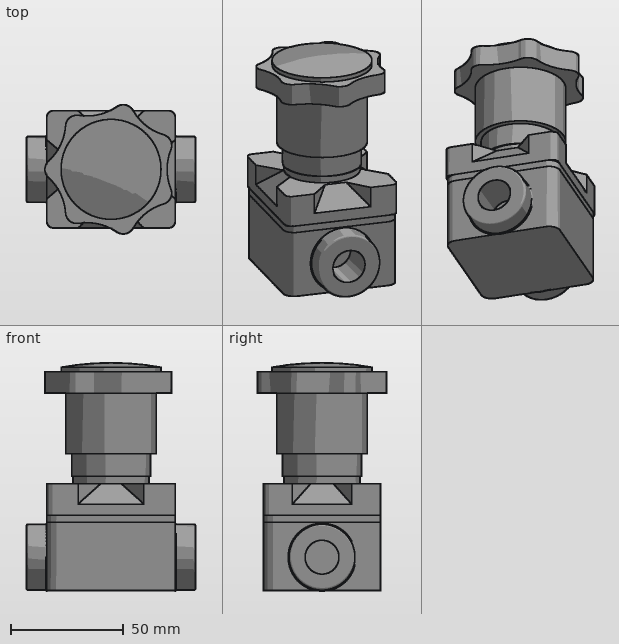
import cadquery as cq
import math


block_length = 57.0
block_width = 52.0
body_corner_radius = 5.0
bonnet_corner_radius = 3.0

body_bottom_z = -14.75
body_top_z = 15.4
diaphragm_top_z = 18.5
notch_floor_z = 23.5
bonnet_top_z = 32.6
neck_top_z = 35.8
sleeve_bottom_z = 45.7
handwheel_bottom_z = 72.6
handwheel_top_z = 82.1
cap_rim_z = 84.1
cap_crown_z = 86.1

port_span = 75.0
port_diameter = 29.2
port_end_fillet = 1.0
port_root_fillet = 0.4
bore_diameter = 15.0
bore_depth = 20.0

notch_depth = 9.6
long_side_notch_width = 29.2
long_side_notch_inner_width = 9.0
short_side_notch_width = 26.2
short_side_notch_inner_width = 9.9

neck_diameter = 33.85
stem_diameter = 35.0
sleeve_diameter = 40.2
cap_diameter = 44.3
lobe_count = 7
lobe_radius = 5.0
lobe_center_radius = 24.26
valley_depth_radius = 24.8


def block(corner_radius, bottom_z, top_z):
    """Rectangular plate with rounded vertical corners."""
    return (
        cq.Workplane("XY", origin=(0, 0, bottom_z))
        .rect(block_length, block_width)
        .extrude(top_z - bottom_z)
        .edges("|Z")
        .fillet(corner_radius)
    )


def disc(diameter, bottom_z, top_z):
    return cq.Workplane("XY", origin=(0, 0, bottom_z)).circle(diameter / 2).extrude(top_z - bottom_z)


def arc_middle(center_x, center_y, radius, angle):
    return (center_x + radius * math.cos(angle), center_y + radius * math.sin(angle))


def make_port():
    """Round port on the +X side with a rounded end and a small root fillet, standing on the block face."""
    face_x = block_length / 2
    end_x = port_span / 2
    radius = port_diameter / 2
    root_x = face_x + port_root_fillet
    root_middle = arc_middle(root_x, radius + port_root_fillet, port_root_fillet, math.radians(225))
    end_center_x = end_x - port_end_fillet
    end_center_y = radius - port_end_fillet
    end_middle = arc_middle(end_center_x, end_center_y, port_end_fillet, math.radians(45))
    return (
        cq.Workplane("XY")
        .moveTo(face_x, 0)
        .lineTo(face_x, radius + port_root_fillet)
        .threePointArc(root_middle, (root_x, radius))
        .lineTo(end_center_x, radius)
        .threePointArc(end_middle, (end_x, end_center_y))
        .lineTo(end_x, 0)
        .close()
        .revolve(360, (0, 0, 0), (1, 0, 0))
    )


def make_bore():
    """Blind bore of the +X port."""
    return (
        cq.Workplane("YZ", origin=(port_span / 2 - bore_depth, 0, 0))
        .circle(bore_diameter / 2)
        .extrude(bore_depth)
    )


def make_body():
    body = block(body_corner_radius, body_bottom_z, body_top_z)
    for turn in (0, 180):
        body = body.union(make_port().rotate((0, 0, 0), (0, 0, 1), turn))
    for turn in (0, 180):
        body = body.cut(make_bore().rotate((0, 0, 0), (0, 0, 1), turn))
    return body


def make_diaphragm():
    return block(body_corner_radius, body_top_z, diaphragm_top_z)


def make_notch(face_x, outer_width, inner_width):
    """Cutter for the +X edge: tapered in plan, with a floor that climbs inward to the bonnet top."""
    inner_x = face_x - notch_depth
    plan = (
        cq.Workplane("XY", origin=(0, 0, notch_floor_z))
        .polyline(
            [
                (inner_x, -inner_width / 2),
                (face_x, -outer_width / 2),
                (face_x, outer_width / 2),
                (inner_x, inner_width / 2),
            ]
        )
        .close()
        .extrude(bonnet_top_z - notch_floor_z)
    )
    wedge = (
        cq.Workplane("XZ")
        .polyline([(inner_x, bonnet_top_z), (face_x, notch_floor_z), (face_x, bonnet_top_z)])
        .close()
        .extrude(outer_width / 2, both=True)
    )
    return plan.intersect(wedge)


def make_handwheel():
    """Star-shaped plate: rounded lobes joined by tangent hollows, one lobe pointing to -X."""
    half_pitch = math.pi / lobe_count
    hollow_radius = (
        lobe_center_radius**2
        + valley_depth_radius**2
        - 2 * lobe_center_radius * valley_depth_radius * math.cos(half_pitch)
        - lobe_radius**2
    ) / (2 * (lobe_radius + lobe_center_radius * math.cos(half_pitch) - valley_depth_radius))
    hollow_center_radius = valley_depth_radius + hollow_radius

    to_hollow_x = hollow_center_radius * math.cos(half_pitch) - lobe_center_radius
    to_hollow_y = hollow_center_radius * math.sin(half_pitch)
    touch_direction = math.atan2(to_hollow_y, to_hollow_x)
    touch_x, touch_y = arc_middle(lobe_center_radius, 0, lobe_radius, touch_direction)
    touch_radius = math.hypot(touch_x, touch_y)
    touch_angle = math.atan2(touch_y, touch_x)

    def polar(radius, angle):
        return (radius * math.cos(angle), radius * math.sin(angle))

    outline = cq.Workplane("XY", origin=(0, 0, handwheel_bottom_z)).moveTo(
        *polar(touch_radius, math.pi - touch_angle)
    )
    for index in range(lobe_count):
        lobe_angle = math.pi + 2 * half_pitch * index
        next_angle = lobe_angle + 2 * half_pitch
        outline = outline.threePointArc(
            polar(lobe_center_radius + lobe_radius, lobe_angle),
            polar(touch_radius, lobe_angle + touch_angle),
        ).threePointArc(
            polar(valley_depth_radius, lobe_angle + half_pitch),
            polar(touch_radius, next_angle - touch_angle),
        )
    return outline.close().extrude(handwheel_top_z - handwheel_bottom_z)


def make_cap():
    """Round cap with a short rim and a shallow spherical crown."""
    rim_radius = cap_diameter / 2
    crown_rise = cap_crown_z - cap_rim_z
    sphere_radius = (rim_radius**2 + crown_rise**2) / (2 * crown_rise)
    middle_x = rim_radius / 2
    middle_z = cap_crown_z - sphere_radius + math.sqrt(sphere_radius**2 - middle_x**2)
    return (
        cq.Workplane("XZ")
        .moveTo(0, handwheel_top_z)
        .lineTo(rim_radius, handwheel_top_z)
        .lineTo(rim_radius, cap_rim_z)
        .threePointArc((middle_x, middle_z), (0, cap_crown_z))
        .close()
        .revolve(360, (0, 0, 0), (0, 1, 0))
    )


def make_actuator():
    """Bonnet with its notches, the stepped spindle and the handwheel."""
    actuator = block(bonnet_corner_radius, diaphragm_top_z, bonnet_top_z)
    notches = (
        (0, block_length, short_side_notch_width, short_side_notch_inner_width),
        (90, block_width, long_side_notch_width, long_side_notch_inner_width),
    )
    for turn, span, outer_width, inner_width in notches:
        notch = make_notch(span / 2, outer_width, inner_width)
        for side in (turn, turn + 180):
            actuator = actuator.cut(notch.rotate((0, 0, 0), (0, 0, 1), side))
    return (
        actuator.union(disc(neck_diameter, bonnet_top_z, neck_top_z))
        .union(disc(stem_diameter, neck_top_z, sleeve_bottom_z))
        .union(disc(sleeve_diameter, sleeve_bottom_z, handwheel_bottom_z))
        .union(make_handwheel())
        .union(make_cap())
    )


body = make_body()
diaphragm = make_diaphragm()
actuator = make_actuator()

result = cq.Compound.makeCompound([body.val(), diaphragm.val(), actuator.val()])